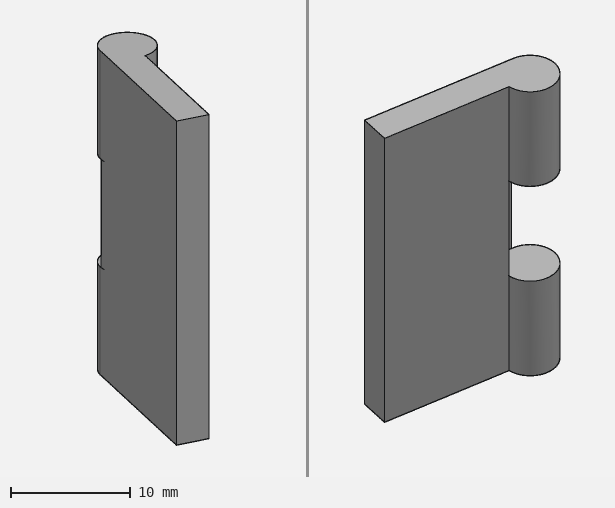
import cadquery as cq

height = 30.0
knuckle_diameter = height / 6
leaf_reach = height / 2
leaf_thickness = 3.0
knuckle_clearance = 0.005

knuckle_radius = knuckle_diameter / 2
notch_radius = knuckle_radius + knuckle_clearance
notch_height = height / 3
notch_bottom = (height - notch_height) / 2


def make_leaf():
    """Flat plate whose outer face is tangent to the knuckles."""
    return cq.Workplane("XY").box(
        leaf_reach, leaf_thickness, height, centered=False
    ).translate((0, -knuckle_radius, 0))


def make_cylinder(radius, bottom, length):
    """Cylinder on the hinge axis."""
    return cq.Workplane("XY").workplane(offset=bottom).circle(radius).extrude(length)


barrel = make_cylinder(knuckle_radius, 0, height)
notch = make_cylinder(notch_radius, notch_bottom, notch_height)

result = make_leaf().union(barrel).cut(notch)